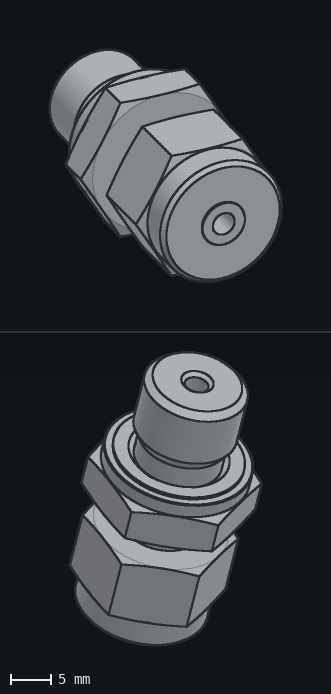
import cadquery as cq
import math

stud_start_x = 0.0
stud_chamfer_end_x = 0.9
relief_cone_start_x = 7.75
relief_cone_end_x = 9.38
seal_lip_x = 11.7
flange_x = 12.05
fitting_hex_start_x = 14.0
fitting_hex_end_x = 19.0
nut_start_x = 23.3
nut_hex_end_x = 32.2
nut_end_x = 36.28
spigot_end_x = 36.5

stud_radius = 6.57
stud_tip_radius = stud_radius - (stud_chamfer_end_x - stud_start_x)
relief_radius = 5.6
seal_lip_radius = 8.32
seal_recess_mouth_radius = 6.4
seal_recess_depth = seal_recess_mouth_radius - relief_radius
flange_radius = 9.4
flange_chamfer = 0.1
neck_radius = 5.0
spigot_radius = 2.92
bore_radius = 1.5
bore_mouth_radius = 2.05
bore_mouth_depth = bore_mouth_radius - bore_radius

fitting_hex_across_flats = 19.0
nut_hex_across_flats = 17.05
hex_chamfer_angle = 15.0

collar_radius = 8.4
collar_chamfer = 0.6


def revolve_about_x(profile):
    """Revolve a closed (x, radius) outline about the X axis."""
    return cq.Workplane("XY").polyline(profile).close().revolve(360, (0, 0, 0), (1, 0, 0))


def cylinder_along_x(radius, start_x, end_x):
    """Solid cylinder centred on the X axis."""
    return cq.Workplane("YZ", origin=(start_x, 0, 0)).circle(radius).extrude(end_x - start_x)


def chamfered_hex(across_flats, start_x, end_x):
    """Hexagonal prism whose corners are turned down to cones at both ends."""
    face_radius = across_flats / 2
    corner_radius = across_flats / math.sqrt(3)
    chamfer_length = (corner_radius - face_radius) * math.tan(math.radians(hex_chamfer_angle))
    prism = (
        cq.Workplane("YZ", origin=(start_x, 0, 0))
        .polygon(6, 2 * corner_radius)
        .extrude(end_x - start_x)
    )
    turned_envelope = revolve_about_x([
        (start_x, 0),
        (start_x, face_radius),
        (start_x + chamfer_length, corner_radius),
        (end_x - chamfer_length, corner_radius),
        (end_x, face_radius),
        (end_x, 0),
    ])
    return prism.intersect(turned_envelope)


def make_fitting():
    """Stud, recessed sealing flange, hexagon, neck and spigot, with a through bore."""
    seal_recess_bottom_x = seal_lip_x + seal_recess_depth
    stud_and_flange = revolve_about_x([
        (stud_start_x, 0),
        (stud_start_x, stud_tip_radius),
        (stud_chamfer_end_x, stud_radius),
        (relief_cone_start_x, stud_radius),
        (relief_cone_end_x, relief_radius),
        (seal_recess_bottom_x, relief_radius),
        (seal_lip_x, seal_recess_mouth_radius),
        (seal_lip_x, seal_lip_radius),
        (flange_x, seal_lip_radius),
        (flange_x, flange_radius - flange_chamfer),
        (flange_x + flange_chamfer, flange_radius),
        (fitting_hex_start_x, flange_radius),
        (fitting_hex_start_x, 0),
    ])
    hexagon = chamfered_hex(fitting_hex_across_flats, fitting_hex_start_x, fitting_hex_end_x)
    neck = cylinder_along_x(neck_radius, fitting_hex_end_x, nut_start_x)
    spigot = cylinder_along_x(spigot_radius, nut_start_x, spigot_end_x)
    bore = revolve_about_x([
        (stud_start_x, 0),
        (stud_start_x, bore_mouth_radius),
        (stud_start_x + bore_mouth_depth, bore_radius),
        (spigot_end_x, bore_radius),
        (spigot_end_x, 0),
    ])
    return stud_and_flange.union(hexagon).union(neck).union(spigot).cut(bore)


def make_nut():
    """Hexagon nut with a round collar, seated on the neck shoulder around the spigot."""
    hexagon = chamfered_hex(nut_hex_across_flats, nut_start_x, nut_hex_end_x)
    collar = (
        cylinder_along_x(collar_radius, nut_hex_end_x, nut_end_x)
        .faces(">X").edges().chamfer(collar_chamfer)
    )
    spigot_hole = cylinder_along_x(spigot_radius, nut_start_x, nut_end_x)
    return hexagon.union(collar).cut(spigot_hole)


fitting = make_fitting()
nut = make_nut()

result = cq.Compound.makeCompound([fitting.val(), nut.val()])